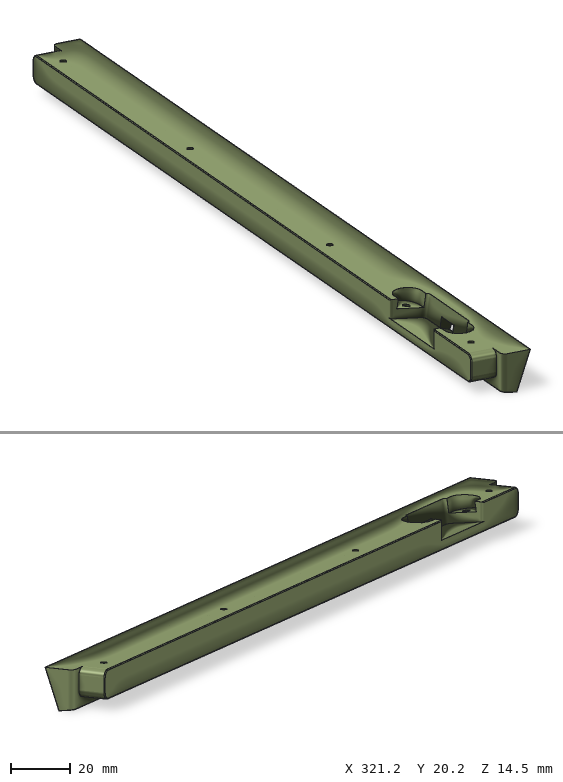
import cadquery as cq
import math

length = 321.2
depth = 20.2
height = 14.5

lean_angle = 8.0

rail_front_y = 9.5
rail_back_bottom_y = 15.0
rail_corner_radius = 2.0

tongue_inset = 4.2
tongue_height = 10.3
tongue_end_radius = 2.5
tongue_edge_chamfer = 0.3

fixing_hole_diameter = 2.1
fixing_hole_depth = 6.5
fixing_hole_y = 5.8
fixing_hole_end_distance = 15.0
fixing_hole_xs = (
    fixing_hole_end_distance,
    105.7,
    205.2,
    length - fixing_hole_end_distance,
)
drill_point_angle = 118.0

overshoot = 3.2

pocket_center_x = 274.5
pocket_width = 30.2
pocket_depth = 6.7
pocket_back_y = 14.0
pocket_corner_radius = 1.5
pocket_mouth_radius = 1.0

recess_length = 46.3
recess_width = 10.3
recess_depth = 3.2
recess_y = 8.0
screw_hole_diameter = 2.55
screw_hole_depth = 4.0
screw_spacing = 36.0

window_width = 8.7
window_height = 4.0


def make_rail():
    """Wedge-shaped rail with a leaning underside and rounded front corners."""
    underside_width = rail_back_bottom_y - rail_front_y
    front_bottom_z = -height + underside_width * math.tan(math.radians(lean_angle))
    rail = (
        cq.Workplane("YZ")
        .polyline([
            (rail_front_y, 0),
            (depth, 0),
            (rail_back_bottom_y, -height),
            (rail_front_y, front_bottom_z),
        ])
        .close()
        .extrude(length)
    )
    return rail.faces("<Y").edges("|Z").fillet(rail_corner_radius)


def make_tongue():
    """Front tongue, run into the rail so that the two join."""
    return (
        cq.Workplane("XY")
        .box(length - 2 * tongue_inset, rail_back_bottom_y, tongue_height, centered=False)
        .translate((tongue_inset, 0, -tongue_height))
        .edges("|Y")
        .fillet(tongue_end_radius)
        .faces("<Y")
        .chamfer(tongue_edge_chamfer)
    )


def make_drilled_holes(diameter, hole_depth, points, start_z=0):
    """Blind vertical holes with conical drill points, going down from start_z."""
    radius = diameter / 2
    tip_length = radius / math.tan(math.radians(drill_point_angle / 2))
    drill = (
        cq.Workplane("XZ")
        .polyline([
            (0, 0),
            (radius, 0),
            (radius, -hole_depth),
            (0, -hole_depth - tip_length),
        ])
        .close()
        .revolve(360, (0, 0, 0), (0, 1, 0))
    )
    holes = cq.Workplane("XY")
    for x, y in points:
        holes = holes.add(drill.translate((x, y, start_z)))
    return holes.combine()


def lean(tool):
    """Tip a tool about the top front edge so that its floor falls to the rear."""
    return tool.rotate((0, 0, 0), (1, 0, 0), -lean_angle)


def make_pocket():
    """Pocket open to the top and front, with rounded rear corners."""
    return (
        cq.Workplane("XY")
        .box(
            pocket_width,
            pocket_back_y + overshoot,
            pocket_depth + overshoot,
            centered=(True, False, False),
        )
        .translate((pocket_center_x, -overshoot, -pocket_depth))
        .edges("|Z and >Y")
        .fillet(pocket_corner_radius)
    )


def make_recess():
    """Round-ended recess sunk from the top."""
    return (
        cq.Workplane("XY", origin=(pocket_center_x, recess_y, -recess_depth))
        .slot2D(recess_length, recess_width)
        .extrude(recess_depth + overshoot)
    )


def make_window():
    """Opening out through the back face: level top, bottom square to the back face."""
    lean_radians = math.radians(lean_angle)
    foot_y = pocket_back_y * math.cos(lean_radians) - pocket_depth * math.sin(lean_radians)
    foot_z = -pocket_back_y * math.sin(lean_radians) - pocket_depth * math.cos(lean_radians)
    back_slope = (depth - rail_back_bottom_y) / height
    exit_z = foot_z - (depth - foot_y) * back_slope
    top_z = foot_z + window_height
    return (
        cq.Workplane("YZ")
        .polyline([(foot_y, foot_z), (depth, exit_z), (depth, top_z), (foot_y, top_z)])
        .close()
        .extrude(window_width)
        .translate((pocket_center_x - window_width / 2, 0, 0))
    )


fixing_points = [(x, fixing_hole_y) for x in fixing_hole_xs]
screw_points = [
    (pocket_center_x + side * screw_spacing / 2, recess_y)
    for side in (-1, 1)
]

result = make_rail().union(make_tongue()).cut(lean(make_pocket()))

for side in (-1, 1):
    mouth_x = pocket_center_x + side * pocket_width / 2
    mouth_edge = cq.selectors.NearestToPointSelector((mouth_x, 0, -pocket_depth / 2))
    result = result.edges(mouth_edge).fillet(pocket_mouth_radius)

screw_holes = make_drilled_holes(screw_hole_diameter, screw_hole_depth, screw_points, -recess_depth)
result = (
    result.cut(lean(make_recess()))
    .cut(make_window())
    .cut(lean(screw_holes))
    .cut(make_drilled_holes(fixing_hole_diameter, fixing_hole_depth, fixing_points))
)